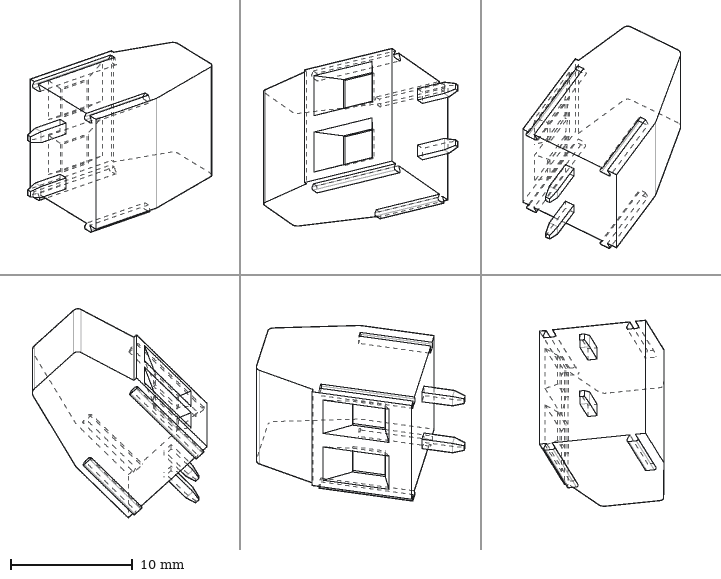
import cadquery as cq
import math


overall_length = 17.0
pole_count = 2
pole_pitch = 5.08
body_width = 9.0
body_length = 13.5
body_height = pole_count * pole_pitch
entry_face_length = 8.36
entry_ledge = 0.3
right_side_length = 6.2
left_top_inset = 1.85
right_top_inset = 1.87
top_edge_radius = 0.53

pin_width = 0.8
pin_height = 1.02
pin_length = overall_length - body_length
pin_tip_length = 0.94
pin_tip_ratio = 0.5
pin_x = body_width / 2

funnel_start = 1.9
funnel_length = 5.52
funnel_height = 3.6
funnel_depth = 0.94
recess_start = 2.41
recess_length = 2.75
recess_height = 2.58
recess_depth = 0.2

dovetail_angle = 60
dovetail_radius = 0.15
tongue_height = 0.6
groove_depth = 0.65
tongue_neck = 0.48
left_groove_neck = 0.53
right_groove_neck = 0.48
left_dovetail_x = 0.83
right_dovetail_x = 7.89
left_dovetail_length = 7.85
right_dovetail_length = 6.04

pole_heights = [(pole + 0.5) * pole_pitch for pole in range(pole_count)]


def make_body():
    """Tapered housing with rounded long edges on its far end."""
    outline = [
        (0, 0),
        (body_width, 0),
        (body_width, right_side_length),
        (body_width - right_top_inset, body_length),
        (left_top_inset, body_length),
        (entry_ledge, entry_face_length),
        (0, entry_face_length),
    ]
    body = cq.Workplane("XY").polyline(outline).close().extrude(body_height)
    return body.faces(">Y").edges("|Z").fillet(top_edge_radius)


def make_pin(z):
    """Rectangular pin along -Y, centred at height z, with a tapered tip."""
    shank_length = pin_length - pin_tip_length
    shank = cq.Workplane("XZ", origin=(pin_x, 0, z)).rect(pin_width, pin_height).extrude(shank_length)
    tip = (
        cq.Workplane("XZ", origin=(pin_x, -shank_length, z))
        .rect(pin_width, pin_height)
        .workplane(offset=pin_tip_length)
        .rect(pin_width * pin_tip_ratio, pin_height * pin_tip_ratio)
        .loft(ruled=True)
    )
    return shank.union(tip)


def make_pocket(z):
    """Wire-entry cavity centred at height z, sunk into the left face along +X."""
    funnel_y = funnel_start + funnel_length / 2
    recess_y = recess_start + recess_length / 2
    funnel = (
        cq.Workplane("YZ", origin=(0, funnel_y, z))
        .rect(funnel_length, funnel_height)
        .workplane(offset=funnel_depth)
        .center(recess_y - funnel_y, 0)
        .rect(recess_length, recess_height)
        .loft(ruled=True)
    )
    recess = (
        cq.Workplane("YZ", origin=(funnel_depth, recess_y, z))
        .rect(recess_length, recess_height)
        .extrude(recess_depth)
    )
    return funnel.union(recess)


def make_dovetail(x, z, neck, depth, length):
    """Dovetail bar along +Y whose neck lies at height z and which widens downward."""
    half_neck = neck / 2
    half_base = half_neck + depth / math.tan(math.radians(dovetail_angle))
    outline = [(-half_neck, 0), (half_neck, 0), (half_base, -depth), (-half_base, -depth)]
    bar = cq.Workplane("XZ", origin=(x, 0, z)).polyline(outline).close().extrude(-length)
    return bar.faces("<Z").edges("|Y").fillet(dovetail_radius)


result = make_body()

for pole_z in pole_heights:
    result = result.union(make_pin(pole_z))
    result = result.cut(make_pocket(pole_z))

for dovetail_x, groove_neck, dovetail_length in [
    (left_dovetail_x, left_groove_neck, left_dovetail_length),
    (right_dovetail_x, right_groove_neck, right_dovetail_length),
]:
    groove = make_dovetail(dovetail_x, body_height, groove_neck, groove_depth, dovetail_length)
    tongue = make_dovetail(dovetail_x, 0, tongue_neck, tongue_height, dovetail_length)
    result = result.cut(groove).union(tongue)